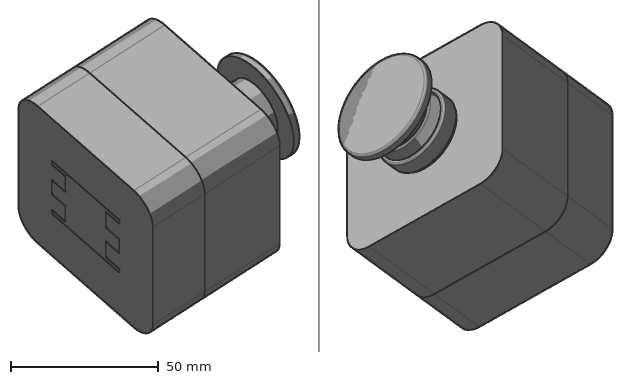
import cadquery as cq

box_side = 70.0
box_corner_radius = 10.0
base_depth = 23.1
box_depth = 56.5
overall_depth = 80.5

block_width = 34.95
block_height = 26.9
notch_depth = 6.85
notch_height = 8.0
notch_spacing = 15.1

neck_radius = 14.4
neck_height = 1.0
collar_radius = 15.0
collar_top = 7.25
collar_edge_radius = 0.7
cone_bottom_radius = 13.5
cone_top_radius = 12.8
cone_top = 12.0
cone_edge_radius = 0.3
stem_radius = 11.6
head_radius = 20.0
head_bottom = 19.1
head_edge_start = 21.25
head_edge_height = 0.9
head_edge_inset = 0.9


def box_section(start, end):
    """Length of the rounded square box between two places along Y."""
    return (
        cq.Workplane("XZ", origin=(0, start, 0))
        .rect(box_side, box_side)
        .extrude(start - end)
        .edges("|Y")
        .fillet(box_corner_radius)
    )


def make_contact_block():
    """Rectangular bar with two notches along each side."""
    block = cq.Workplane("XZ").rect(block_width, block_height).extrude(-base_depth)
    notch_x = (block_width - notch_depth) / 2
    notch_z = notch_spacing / 2
    notches = (
        cq.Workplane("XZ")
        .pushPoints([(x, z) for x in (-notch_x, notch_x) for z in (-notch_z, notch_z)])
        .rect(notch_depth, notch_height)
        .extrude(-base_depth)
    )
    return block.cut(notches)


def make_collar():
    """Neck, collar and tapered sleeve, revolved about the button axis."""
    profile = (
        cq.Workplane("ZY", origin=(0, box_depth, 0))
        .lineTo(neck_radius, 0)
        .lineTo(neck_radius, neck_height)
        .lineTo(collar_radius, neck_height)
        .lineTo(collar_radius, collar_top - collar_edge_radius)
        .radiusArc((collar_radius - collar_edge_radius, collar_top), -collar_edge_radius)
        .lineTo(cone_bottom_radius, collar_top)
        .lineTo(cone_top_radius, cone_top - cone_edge_radius)
        .radiusArc((cone_top_radius - cone_edge_radius, cone_top), -cone_edge_radius)
        .lineTo(0, cone_top)
        .close()
    )
    return profile.revolve(360, (0, 0, 0), (0, 1, 0))


def make_mushroom():
    """Stem and domed head, revolved about the button axis."""
    button_height = overall_depth - box_depth
    dome_radius = head_radius - head_edge_inset
    dome_start = head_edge_start + head_edge_height
    dome_rise = button_height - dome_start
    sphere_radius = (dome_radius**2 + dome_rise**2) / (2 * dome_rise)
    profile = (
        cq.Workplane("ZY", origin=(0, box_depth, 0))
        .lineTo(stem_radius, 0)
        .lineTo(stem_radius, head_bottom)
        .lineTo(head_radius, head_bottom)
        .lineTo(head_radius, head_edge_start)
        .radiusArc((dome_radius, dome_start), -head_edge_inset)
        .radiusArc((0, button_height), -sphere_radius)
        .close()
    )
    return profile.revolve(360, (0, 0, 0), (0, 1, 0))


def make_base():
    """Base of the enclosure, with an opening that matches the contact block."""
    return box_section(0, base_depth).cut(make_contact_block())


def make_cover():
    """Cover of the enclosure, in one piece with the push button and the contact block."""
    cover = box_section(base_depth, box_depth)
    return cover.union(make_contact_block()).union(make_collar()).union(make_mushroom())


base = make_base()
cover = make_cover()

result = cq.Compound.makeCompound([base.solids().val(), cover.solids().val()])